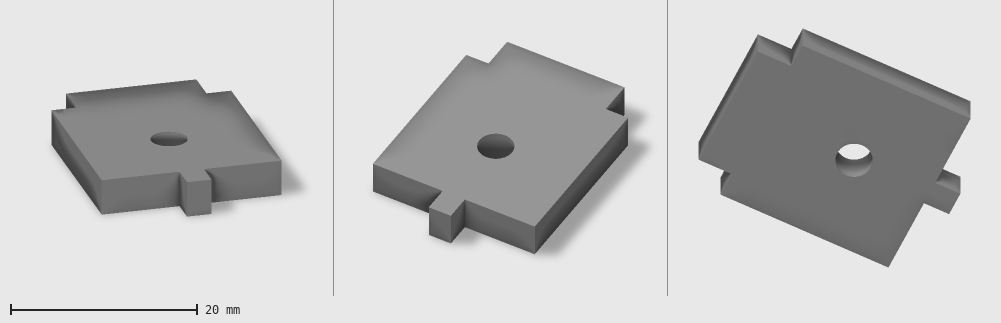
import cadquery as cq

total_length = 27.0
body_width = 20.0
thickness = 4.0
wide_tab_length = 4.0
wide_tab_width = 14.5
narrow_tab_length = 3.0
narrow_tab_width = 2.73
hole_diameter = 4.0
hole_x = 15.0

body_start = wide_tab_length
body_end = total_length - narrow_tab_length


def block(x_start, x_end, width):
    """Full-thickness block centred on the X axis."""
    return (
        cq.Workplane("XY")
        .box(x_end - x_start, width, thickness, centered=(False, True, False))
        .translate((x_start, 0, 0))
    )


body = block(body_start, body_end, body_width)
wide_tab = block(0, body_start, wide_tab_width)
narrow_tab = block(body_end, total_length, narrow_tab_width)
plate = body.union(wide_tab).union(narrow_tab)

hole = (
    cq.Workplane("XY")
    .center(hole_x, 0)
    .circle(hole_diameter / 2)
    .extrude(thickness)
)

result = plate.cut(hole)